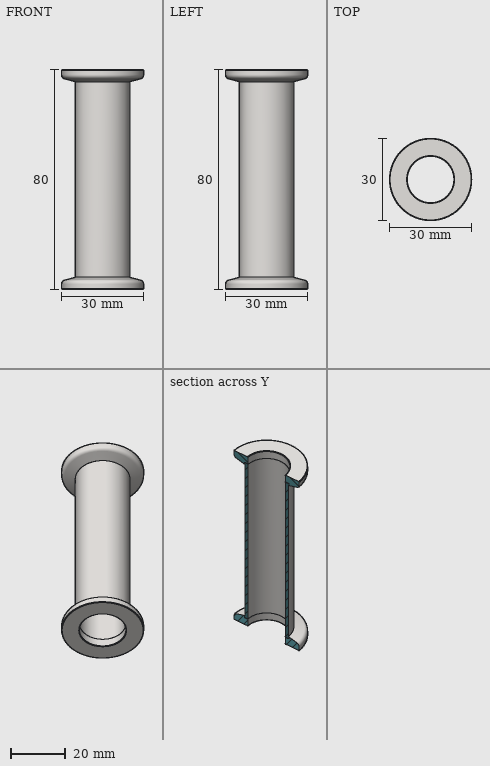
import cadquery as cq
import math

length = 80.0
flange_diameter = 30.0
flange_radius = flange_diameter / 2
flange_height = 4.4
cone_angle = math.radians(15)
shoulder_radius = 1.5
rim_chamfer = 0.2

tube_outer_radius = 10.0
bore_radius = 8.5
socket_depth = 3.5


def make_bottom_flange():
    """Revolved flange with its face at Z = 0 and a socket for the tube."""
    shoulder_sweep = math.pi / 2 - cone_angle
    arc_center_r = flange_radius - shoulder_radius
    cone_start_r = arc_center_r + shoulder_radius * math.cos(shoulder_sweep)
    cone_start_z = flange_height - (cone_start_r - tube_outer_radius) * math.tan(cone_angle)
    arc_center_z = cone_start_z - shoulder_radius * math.sin(shoulder_sweep)
    arc_middle = (
        arc_center_r + shoulder_radius * math.cos(shoulder_sweep / 2),
        arc_center_z + shoulder_radius * math.sin(shoulder_sweep / 2),
    )
    return (
        cq.Workplane("XZ")
        .moveTo(bore_radius + rim_chamfer, 0)
        .lineTo(flange_radius - rim_chamfer, 0)
        .lineTo(flange_radius, rim_chamfer)
        .lineTo(flange_radius, arc_center_z)
        .threePointArc(arc_middle, (cone_start_r, cone_start_z))
        .lineTo(tube_outer_radius, flange_height)
        .lineTo(tube_outer_radius, socket_depth)
        .lineTo(bore_radius, socket_depth)
        .lineTo(bore_radius, rim_chamfer)
        .close()
        .revolve(360, (0, 0, 0), (0, 1, 0))
    )


def make_tube():
    """Plain tube seated in the sockets of both flanges."""
    return (
        cq.Workplane("XY")
        .workplane(offset=socket_depth)
        .circle(tube_outer_radius)
        .circle(bore_radius)
        .extrude(length - 2 * socket_depth)
    )


bottom_flange = make_bottom_flange()
top_flange = bottom_flange.mirror("XY").translate((0, 0, length))
tube = make_tube()

result = cq.Compound.makeCompound([bottom_flange.val(), top_flange.val(), tube.val()])